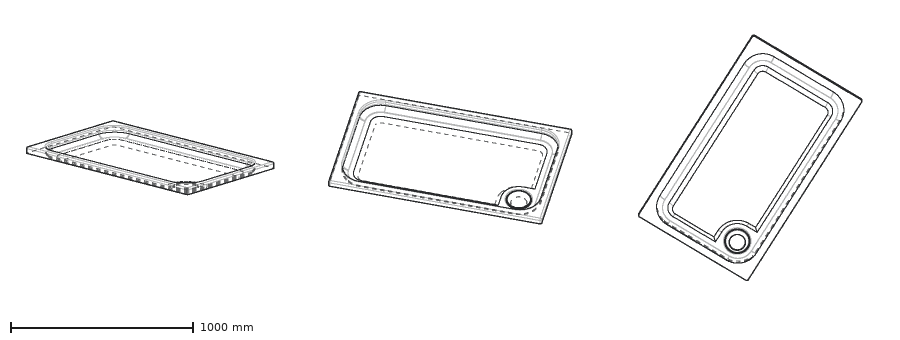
import cadquery as cq
import math

LENGTH = 1206.0
WIDTH = 707.0
TOTAL_HEIGHT = 86.0

RIM_HEIGHT = 37.0
RIM_ROUND = 10.0

BOWL_DEPTH = 60.0
WALL = 5.0
BOWL_MARGIN = 45.0
BOWL_CORNER_CENTRE = 162.0
BOWL_FLOOR_FILLET = 30.0
BOWL_LIP_ROUND = 7.0

FOOT_MARGIN = 104.0
FOOT_TAPER = 45.0
NOTCH_SIZE = 270.0
NOTCH_CORNER_RADIUS = 99.0

DRAIN_MARGIN = 170.0
SUMP_BOTTOM_DIAMETER = 90.0
SUMP_TOP_DIAMETER = 140.0
SUMP_LIP_ROUND = 18.0

COVER_DIAMETER = 130.0
COVER_RISE = 1.0
COVER_DOME_HEIGHT = 8.0

FLOOR_Z = WALL - BOWL_DEPTH
FOOT_HEIGHT = TOTAL_HEIGHT - BOWL_DEPTH
DRAIN_X = LENGTH / 2 - DRAIN_MARGIN
DRAIN_Y = DRAIN_MARGIN - WIDTH / 2

SUMP_BOTTOM_RADIUS = SUMP_BOTTOM_DIAMETER / 2
SUMP_TOP_RADIUS = SUMP_TOP_DIAMETER / 2
SUMP_SLOPE = (SUMP_TOP_RADIUS - SUMP_BOTTOM_RADIUS) / FOOT_HEIGHT
SUMP_ANGLE = math.atan(1 / SUMP_SLOPE)
SUMP_WALL_ACROSS = WALL * math.hypot(1, SUMP_SLOPE)


def sump_inner_radius(z):
    """Radius of the inside of the sump cone at height z."""
    return SUMP_TOP_RADIUS + SUMP_SLOPE * (z + BOWL_DEPTH) - SUMP_WALL_ACROSS


SUMP_LIP_RADIUS = sump_inner_radius(FLOOR_Z) + SUMP_LIP_ROUND * math.tan(SUMP_ANGLE / 2)


def sump_lip_point(angle):
    """Radius and height on the lip rounding where its surface slopes down by angle."""
    return (
        SUMP_LIP_RADIUS - SUMP_LIP_ROUND * math.sin(angle),
        FLOOR_Z - SUMP_LIP_ROUND + SUMP_LIP_ROUND * math.cos(angle),
    )


def rounded_block(margin, height, top_z):
    """Block set in from the rim by margin, sharing the bowl's corner arc centres."""
    return (
        cq.Workplane("XY", origin=(0, 0, top_z - height))
        .rect(LENGTH - 2 * margin, WIDTH - 2 * margin)
        .extrude(height)
        .edges("|Z")
        .fillet(BOWL_CORNER_CENTRE - margin)
    )


def revolve_at_drain(profile):
    """Turn an XZ profile (X is the radius) about the vertical drain axis."""
    return profile.close().revolve(360, (0, 0, 0), (0, 1, 0)).translate((DRAIN_X, DRAIN_Y, 0))


def make_rim():
    rim = cq.Workplane("XY", origin=(0, 0, -RIM_HEIGHT)).rect(LENGTH, WIDTH).extrude(RIM_HEIGHT)
    return rim.edges("|Z").fillet(RIM_ROUND).faces(">Z").edges().fillet(RIM_ROUND)


def make_bowl_shell():
    """Solid outer form of the bowl, before it is hollowed."""
    block = rounded_block(BOWL_MARGIN - WALL, BOWL_DEPTH - RIM_ROUND, -RIM_ROUND)
    return block.faces("<Z").edges().fillet(BOWL_FLOOR_FILLET + WALL)


def make_bowl_cavity():
    cavity = rounded_block(BOWL_MARGIN, -FLOOR_Z, 0)
    return cavity.faces("<Z").edges().fillet(BOWL_FLOOR_FILLET)


def make_foot():
    """Tapered foot under the bowl, notched at one corner to clear the drain."""
    left = FOOT_MARGIN - LENGTH / 2
    right = -left
    back = WIDTH / 2 - FOOT_MARGIN
    front = -back
    notch_x = LENGTH / 2 - NOTCH_SIZE
    notch_y = NOTCH_SIZE - WIDTH / 2
    corner = BOWL_CORNER_CENTRE - FOOT_MARGIN
    diagonal = corner * (1 - math.sqrt(0.5))
    notch_diagonal = NOTCH_CORNER_RADIUS * (1 - math.sqrt(0.5))
    return (
        cq.Workplane("XY", origin=(0, 0, -BOWL_DEPTH))
        .moveTo(left + corner, front)
        .lineTo(notch_x, front)
        .lineTo(notch_x, notch_y - NOTCH_CORNER_RADIUS)
        .threePointArc(
            (notch_x + notch_diagonal, notch_y - notch_diagonal),
            (notch_x + NOTCH_CORNER_RADIUS, notch_y),
        )
        .lineTo(right, notch_y)
        .lineTo(right, back - corner)
        .threePointArc((right - diagonal, back - diagonal), (right - corner, back))
        .lineTo(left + corner, back)
        .threePointArc((left + diagonal, back - diagonal), (left, back - corner))
        .lineTo(left, front + corner)
        .threePointArc((left + diagonal, front + diagonal), (left + corner, front))
        .close()
        .extrude(-FOOT_HEIGHT, taper=FOOT_TAPER)
    )


def make_sump_shell():
    """Solid outer cone of the drain sump."""
    profile = (
        cq.Workplane("XZ")
        .moveTo(0, -BOWL_DEPTH)
        .lineTo(SUMP_TOP_RADIUS, -BOWL_DEPTH)
        .lineTo(SUMP_BOTTOM_RADIUS, -TOTAL_HEIGHT)
        .lineTo(0, -TOTAL_HEIGHT)
    )
    return revolve_at_drain(profile)


def make_sump_cavity():
    """Conical hollow of the sump, flaring out through a rounded lip into the bowl floor."""
    bottom_z = WALL - TOTAL_HEIGHT
    profile = (
        cq.Workplane("XZ")
        .moveTo(0, FLOOR_Z)
        .lineTo(SUMP_LIP_RADIUS, FLOOR_Z)
        .threePointArc(sump_lip_point(SUMP_ANGLE / 2), sump_lip_point(SUMP_ANGLE))
        .lineTo(sump_inner_radius(bottom_z), bottom_z)
        .lineTo(0, bottom_z)
    )
    return revolve_at_drain(profile)


def make_tray():
    body = make_rim().union(make_bowl_shell()).union(make_foot()).union(make_sump_shell())
    body = body.cut(make_bowl_cavity())
    bowl_lip = body.faces(">Z").val().innerWires()[0]
    body = body.newObject(bowl_lip.Edges()).fillet(BOWL_LIP_ROUND)
    return body.cut(make_sump_cavity())


def make_drain_cover():
    """Domed disc whose lower edge rests on the rounded lip of the sump."""
    radius = COVER_DIAMETER / 2
    seat_angle = math.asin((SUMP_LIP_RADIUS - radius) / SUMP_LIP_ROUND)
    seat_z = sump_lip_point(seat_angle)[1]
    edge_z = FLOOR_Z + COVER_RISE
    dome_radius = (radius**2 + COVER_DOME_HEIGHT**2) / (2 * COVER_DOME_HEIGHT)
    middle_x = radius / 2
    middle_z = edge_z + COVER_DOME_HEIGHT - dome_radius + math.sqrt(dome_radius**2 - middle_x**2)
    profile = (
        cq.Workplane("XZ")
        .moveTo(0, seat_z)
        .lineTo(radius, seat_z)
        .lineTo(radius, edge_z)
        .threePointArc((middle_x, middle_z), (0, edge_z + COVER_DOME_HEIGHT))
    )
    return revolve_at_drain(profile)


tray = make_tray()
drain_cover = make_drain_cover()

result = cq.Compound.makeCompound([tray.solids().val(), drain_cover.val()])